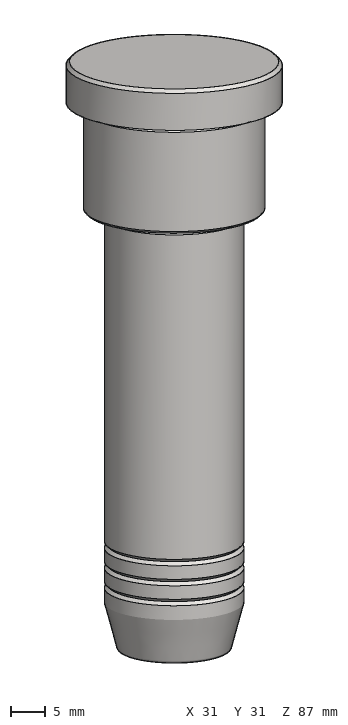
import cadquery as cq
import math

length = 87.0
head_radius = 31.0 / 2
barrel_radius = 26.0 / 2
shank_radius = 20.0 / 2

head_height = 6.0
barrel_end = 22.0
nose_length = 7.0
nose_angle = math.radians(15)

edge_chamfer = 0.5
barrel_chamfer = 0.35
relief_width = 1.0
barrel_relief_depth = 0.5
shank_relief_depth = 0.8

groove_count = 3
groove_width = 1.0
groove_depth = 0.5
groove_pitch = 3.0
lowest_groove_center = nose_length + 2.6

head_bottom = length - head_height
barrel_bottom = length - barrel_end
tip_radius = shank_radius - nose_length * math.tan(nose_angle)


def cylinder(radius, bottom, top):
    """Cylinder on the Z axis between two heights."""
    return cq.Workplane("XY").workplane(offset=bottom).circle(radius).extrude(top - bottom)


def revolve_profile(points):
    """Revolve a closed (radius, height) outline around the Z axis."""
    return cq.Workplane("XZ").polyline(points).close().revolve(360, (0, 0), (0, 1))


def barrel_relief():
    """Ring under the head, with a straight root and a 45 degree lower wall."""
    root = barrel_radius - barrel_relief_depth
    outer = barrel_radius + barrel_relief_depth
    bottom = head_bottom - relief_width
    return revolve_profile([
        (root, head_bottom),
        (outer, head_bottom),
        (outer, bottom),
        (barrel_radius, bottom),
        (root, bottom + barrel_relief_depth),
    ])


def shank_relief():
    """Ring under the barrel, with a single conical wall narrowing upwards."""
    bottom = barrel_bottom - relief_width
    return revolve_profile([
        (shank_radius - shank_relief_depth, barrel_bottom),
        (shank_radius, barrel_bottom),
        (shank_radius, bottom),
    ])


def v_groove(center):
    """V-shaped ring cut into the shank, centred at the given height."""
    half_width = groove_width / 2
    return revolve_profile([
        (shank_radius, center - half_width),
        (shank_radius, center + half_width),
        (shank_radius - groove_depth, center),
    ])


head = cylinder(head_radius, head_bottom, length).faces(">Z").chamfer(edge_chamfer)
barrel = cylinder(barrel_radius, barrel_bottom, head_bottom).faces("<Z").chamfer(barrel_chamfer)
shank = cylinder(shank_radius, nose_length, barrel_bottom)

nose = revolve_profile([
    (0, 0),
    (tip_radius, 0),
    (shank_radius, nose_length),
    (0, nose_length),
]).faces("<Z").edges().fillet(edge_chamfer)

result = head.union(barrel).union(shank).union(nose)

result = result.cut(barrel_relief())
result = result.cut(shank_relief())

for index in range(groove_count):
    result = result.cut(v_groove(lowest_groove_center + index * groove_pitch))